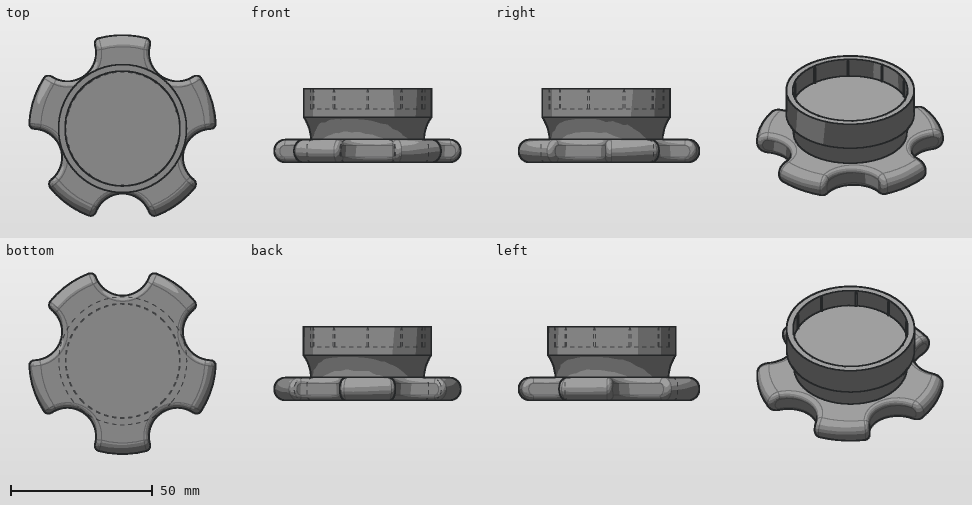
import cadquery as cq
import math

wheel_radius = 33.0
wheel_height = 8.1
rim_round = wheel_height / 2
lobe_count = 5
scallop_radius = 10.0
scallop_round = 2.0

neck_radius = 20.0
cup_radius = 45.2 / 2
cup_base = 16.0
total_height = 26.0
pocket_radius = 20.3
pocket_depth = 7.0
pocket_floor = total_height - pocket_depth

rib_count = 10
rib_radius = 0.3
rib_gap = 0.1
rib_tip = 1.0


def make_wheel():
    """Disc with a fully rounded rim, scalloped into five soft-edged lobes."""
    flat_radius = wheel_radius - rim_round
    disc = (
        cq.Workplane("XZ")
        .lineTo(flat_radius, 0)
        .threePointArc((wheel_radius, rim_round), (flat_radius, wheel_height))
        .lineTo(0, wheel_height)
        .close()
        .revolve(360, (0, 0, 0), (0, 1, 0))
    )
    scallops = (
        cq.Workplane("XY")
        .polarArray(wheel_radius, -90, 360, lobe_count)
        .circle(scallop_radius)
        .extrude(wheel_height)
    )
    return disc.cut(scallops).faces("%CYLINDER").edges().fillet(scallop_round)


def make_cup():
    """Neck flaring along a concave arc, vertical at its foot, into a cup with a flat-floored pocket."""
    flare_height = cup_base - wheel_height
    flare_width = cup_radius - neck_radius
    flare_arc = (flare_height**2 + flare_width**2) / (2 * flare_width)
    half_angle = math.asin(flare_height / flare_arc) / 2
    flare_middle = (
        neck_radius + flare_arc * (1 - math.cos(half_angle)),
        wheel_height + flare_arc * math.sin(half_angle),
    )
    return (
        cq.Workplane("XZ")
        .moveTo(0, rim_round)
        .lineTo(neck_radius, rim_round)
        .lineTo(neck_radius, wheel_height)
        .threePointArc(flare_middle, (cup_radius, cup_base))
        .lineTo(cup_radius, total_height)
        .lineTo(pocket_radius, total_height)
        .lineTo(pocket_radius, pocket_floor)
        .lineTo(0, pocket_floor)
        .close()
        .revolve(360, (0, 0, 0), (0, 1, 0))
    )


def make_ribs():
    """Thin round ribs with conical tips, half sunk into the pocket wall."""
    tip_height = total_height - rib_gap
    rib = (
        cq.Workplane("XZ")
        .moveTo(0, pocket_floor)
        .lineTo(rib_radius, pocket_floor)
        .lineTo(rib_radius, tip_height - rib_tip)
        .lineTo(0, tip_height)
        .close()
        .revolve(360, (0, 0, 0), (0, 1, 0))
        .val()
    )
    return (
        cq.Workplane("XY")
        .polarArray(pocket_radius, 90, 360, rib_count)
        .eachpoint(lambda place: rib.moved(place), combine=False)
    )


result = make_wheel().union(make_cup()).union(make_ribs())